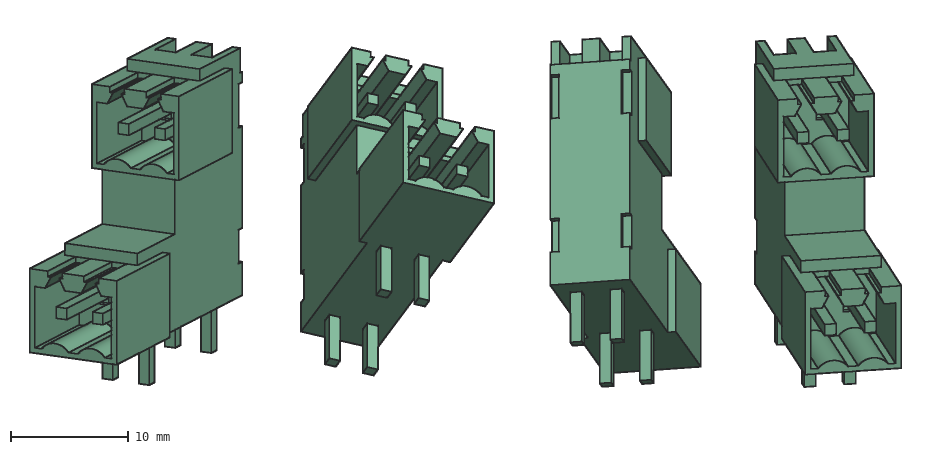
import cadquery as cq


pitch = 3.5
column_xs = [-pitch / 2, pitch / 2]
level_rise = 13.52
level_advance = 11.47
level_count = 2

block_width = 7.0
total_depth = 24.55
total_height = 26.5
lower_deck_z = 8.5
block_height = lower_deck_z + level_rise
deck_front_depth = 7.9
riser_depth = 12.48
rear_ledge_z = 19.82
rear_ledge_depth = 0.37

pocket_width = 1.95
pocket_depth = 4.2

notch_depth = 0.65
notch_width = (block_width - pitch - pocket_width) / 2
notch_spans = [(2.97, 5.95), (15.0, 18.9)]

shroud_width = 8.4
shroud_length = 9.8
shroud_height = 7.45

side_wall = 0.5
cavity_width = shroud_width - 2 * side_wall
cavity_floor_z = 0.48
cavity_ceiling_z = 5.9
cavity_depth = 8.22
floor_rib_width = 2.62
floor_rib_peak_z = 1.1

keyway_length = 5.15
dovetail_bottom_width = 1.9
dovetail_top_width = 0.8
dovetail_top_z = 6.95
roof_slot_width = 1.4

pin_size = 1.0
pin_axis_z = 3.5
pin_setback = 1.2
pin_leg_axis_depth = 2.84
pin_leg_length = total_height - block_height
recess_size = 1.8
recess_depth = 0.53


def box_between(x_range, y_range, z_range):
    """Box spanning the given coordinate ranges, each ordered from low to high."""
    sizes = [high - low for low, high in (x_range, y_range, z_range)]
    return cq.Workplane("XY").box(*sizes, centered=False).translate((x_range[0], y_range[0], z_range[0]))


def column_box(x, width, y_range, z_range):
    """Box of the given width centred on x."""
    return box_between((x - width / 2, x + width / 2), y_range, z_range)


def shroud_front_y(level):
    """Front plane of a shroud; level 0 is the lower one."""
    return -total_depth + level * level_advance


def extrude_rearward(outline, front_y, length):
    """Extrude an XZ outline from front_y towards +Y."""
    return outline.extrude(-length).translate((0, front_y, 0))


def make_block():
    lower_deck_front = deck_front_depth + level_advance
    side_profile = [
        (0, 0),
        (0, rear_ledge_z),
        (-rear_ledge_depth, rear_ledge_z),
        (-rear_ledge_depth, block_height),
        (-deck_front_depth, block_height),
        (-deck_front_depth, level_rise),
        (-riser_depth, level_rise),
        (-riser_depth, lower_deck_z),
        (-lower_deck_front, lower_deck_z),
        (-lower_deck_front, 0),
    ]
    block = cq.Workplane("YZ").polyline(side_profile).close().extrude(block_width / 2, both=True)
    for z_range in notch_spans:
        for side in (-1, 1):
            x = side * (block_width - notch_width) / 2
            block = block.cut(column_box(x, notch_width, (-notch_depth, 0), z_range))
    return block


def make_shroud_body(level):
    front_y = shroud_front_y(level)
    base_z = level * level_rise
    y_range = (front_y, front_y + shroud_length)
    return column_box(0, shroud_width, y_range, (base_z, base_z + shroud_height))


def make_cavity(level):
    """Space inside a shroud: main opening less its floor ribs, plus the roof keyways and pin recesses."""
    front_y = shroud_front_y(level)
    base_z = level * level_rise
    back_y = front_y + cavity_depth
    cavity = column_box(0, cavity_width, (front_y, back_y), (cavity_floor_z, cavity_ceiling_z))
    for x in column_xs:
        rib = (
            cq.Workplane("XZ")
            .moveTo(x - floor_rib_width / 2, cavity_floor_z)
            .threePointArc((x, floor_rib_peak_z), (x + floor_rib_width / 2, cavity_floor_z))
            .close()
        )
        cavity = cavity.cut(extrude_rearward(rib, front_y, cavity_depth))
    for x in column_xs:
        dovetail = cq.Workplane("XZ").polyline([
            (x - dovetail_bottom_width / 2, cavity_ceiling_z),
            (x - dovetail_top_width / 2, dovetail_top_z),
            (x + dovetail_top_width / 2, dovetail_top_z),
            (x + dovetail_bottom_width / 2, cavity_ceiling_z),
        ]).close()
        roof_slot = column_box(
            x, roof_slot_width, (front_y, front_y + keyway_length), (dovetail_top_z, shroud_height)
        )
        recess = column_box(
            x,
            recess_size,
            (back_y, back_y + recess_depth),
            (pin_axis_z - recess_size / 2, pin_axis_z + recess_size / 2),
        )
        cavity = cavity.union(extrude_rearward(dovetail, front_y, cavity_depth))
        cavity = cavity.union(roof_slot).union(recess)
    return cavity.translate((0, 0, base_z))


def make_pin(x, level):
    """L-shaped pin: a contact arm along Y and a leg down through the underside."""
    tip_y = shroud_front_y(level) + pin_setback
    leg_axis_y = -pin_leg_axis_depth - (level_count - 1 - level) * level_advance
    leg_rear_y = leg_axis_y + pin_size / 2
    arm_axis_z = pin_axis_z + level * level_rise
    arm_top_z = arm_axis_z + pin_size / 2
    arm = column_box(x, pin_size, (tip_y, leg_rear_y), (arm_top_z - pin_size, arm_top_z))
    leg = column_box(x, pin_size, (leg_rear_y - pin_size, leg_rear_y), (-pin_leg_length, arm_top_z))
    return arm.union(leg)


def make_housing(pins):
    housing = make_block()
    for level in range(level_count):
        housing = housing.union(make_shroud_body(level))
    for level in range(level_count):
        housing = housing.cut(make_cavity(level))
    for x in column_xs:
        housing = housing.cut(column_box(x, pocket_width, (-pocket_depth, 0), (rear_ledge_z, block_height)))
    for pin in pins:
        housing = housing.cut(pin)
    return housing


pins = [make_pin(x, level) for level in range(level_count) for x in column_xs]
housing = make_housing(pins)

result = cq.Compound.makeCompound([housing.val(), *[pin.val() for pin in pins]])